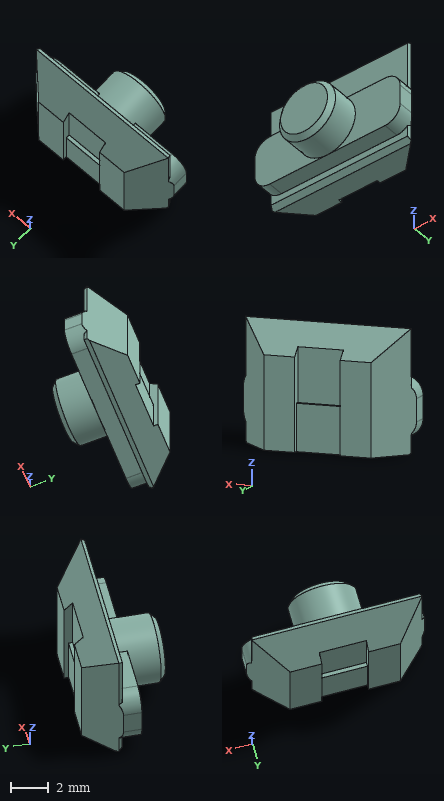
import cadquery as cq

plate_width = 9.33
plate_height = 6.79
plate_depth = 1.85
rim_depth = 0.2
rim_inset = 0.08
bottom_chamfer = 0.3

bar_length = 9.75
bar_height = 3.27
bar_depth = 1.0
bar_corner_radius = 1.0
bar_bottom = 0.73

pin_diameter = 3.75
pin_length = 2.99
pin_chamfer = 0.3
pin_center_z = bar_bottom + pin_diameter / 2

slot_width = 2.56
slot_depth = 0.24
slot_upper_depth = 0.47
slot_ledge_z = pin_center_z

slope_run = plate_depth - rim_depth


def box(width, y_min, y_max, z_min, z_max):
    """Box centred on X between the given Y and Z limits."""
    return cq.Workplane("XY").box(
        width, y_max - y_min, z_max - z_min, centered=(True, False, False)
    ).translate((0, y_min, z_min))


def dovetail(front_width, y_front):
    """Full-height prism narrowing at 45 degrees to the back of the plate."""
    half_front = front_width / 2
    half_back = half_front - (plate_depth - y_front)
    outline = [
        (-half_front, y_front),
        (half_front, y_front),
        (half_back, plate_depth),
        (-half_back, plate_depth),
    ]
    return cq.Workplane("XY").polyline(outline).close().extrude(plate_height)


def make_plate():
    half_front = plate_width / 2 - rim_inset
    rim = (
        cq.Workplane("XY")
        .polyline([
            (-half_front, 0),
            (half_front, 0),
            (plate_width / 2, rim_depth),
            (-plate_width / 2, rim_depth),
        ])
        .close()
        .extrude(plate_height)
    )
    side_profile = (
        cq.Workplane("YZ")
        .polyline([
            (bottom_chamfer, 0),
            (plate_depth, 0),
            (plate_depth, plate_height - slope_run),
            (rim_depth, plate_height),
            (0, plate_height - rim_inset),
            (0, bottom_chamfer),
        ])
        .close()
        .extrude(plate_width / 2, both=True)
    )
    return dovetail(plate_width, rim_depth).union(rim).intersect(side_profile)


def make_bar():
    """Crossbar whose overhanging ends are trimmed by the dovetail planes."""
    bar = box(bar_length, -bar_depth, rim_depth, bar_bottom, bar_bottom + bar_height)
    bar = bar.edges("|Y").fillet(bar_corner_radius)
    trim_width = plate_width + 2 * (rim_depth + bar_depth)
    return bar.intersect(dovetail(trim_width, -bar_depth))


def make_pin():
    return (
        cq.Workplane("XZ")
        .center(0, pin_center_z)
        .circle(pin_diameter / 2)
        .extrude(pin_length)
        .faces("<Y")
        .chamfer(pin_chamfer)
    )


def make_slot():
    lower = box(slot_width, plate_depth - slot_depth, plate_depth, 0, plate_height)
    upper = box(slot_width, plate_depth - slot_upper_depth, plate_depth, slot_ledge_z, plate_height)
    return lower.union(upper)


result = make_plate().union(make_bar()).union(make_pin()).cut(make_slot())